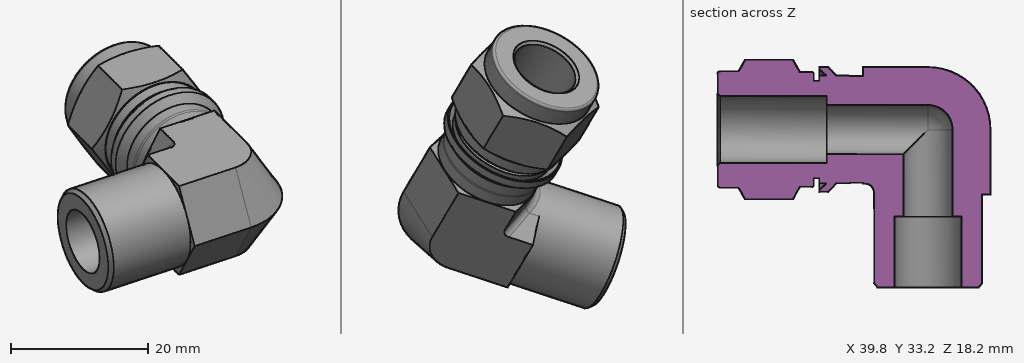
import cadquery as cq
import math


elbow_width = 15.8
elbow_half = elbow_width / 2
elbow_corner = elbow_width / math.sqrt(3)
arm_length = 9.47
inner_fillet = 1.2

nut_face = 39.8 - elbow_corner
front_collar_length = 3.05
hex_length = 8.9
back_collar_length = 2.05
hex_front = nut_face - front_collar_length
hex_back = hex_front - hex_length
nut_back = hex_back - back_collar_length
flange_face = nut_back - 0.75
flange_back = flange_face - 1.3
flange_cone_end = flange_back - 1.2
shoulder_front = flange_cone_end - 1.7
shoulder_back = shoulder_front - 0.35

nut_width = 17.65
nut_corner = nut_width / math.sqrt(3)
hex_chamfer_length = 0.95
front_collar_diameter = 17.0
front_collar_round = 0.4
back_collar_diameter = 16.8
back_collar_chamfer = 0.2
neck_diameter = 14.3
flange_diameter = 18.25
flange_groove_diameter = 17.75
flange_groove_depth = 1.0
body_diameter = 15.8
shoulder_diameter = 15.65

pipe_diameter = 15.8
pipe_end = 33.2 - nut_corner
pipe_chamfer_length = 0.65
pipe_chamfer_depth = 0.5

bore_diameter = 7.12
socket_diameter = 9.7
nut_socket_depth = 15.92
nut_mouth_chamfer = 0.4
pipe_socket_depth = 10.35


def nut_arm_cylinder(diameter, near, far):
    """Cylinder on the nut arm axis between two distances from the origin."""
    return cq.Workplane("YZ", origin=(-far, 0, 0)).circle(diameter / 2).extrude(far - near)


def pipe_arm_cylinder(diameter, near, far):
    """Cylinder on the pipe arm axis between two distances from the origin."""
    return cq.Workplane("XZ", origin=(0, -near, 0)).circle(diameter / 2).extrude(far - near)


def elbow_arm(plane, length):
    """Hexagonal arm whose inner corner is rounded, starting at the origin."""
    tangent_y = elbow_half * math.cos(math.pi / 6)
    tangent_z = elbow_half * math.sin(math.pi / 6)
    return (
        cq.Workplane(plane)
        .moveTo(elbow_corner, 0)
        .lineTo(elbow_corner / 2, elbow_half)
        .lineTo(-elbow_corner / 2, elbow_half)
        .lineTo(-tangent_y, tangent_z)
        .threePointArc((-elbow_half, 0), (-tangent_y, -tangent_z))
        .lineTo(-elbow_corner / 2, -elbow_half)
        .lineTo(elbow_corner / 2, -elbow_half)
        .close()
        .extrude(length)
    )


def make_elbow():
    """Two hexagonal arms, a revolved outer corner and a filleted inner corner."""
    nut_side = elbow_arm("YZ", -arm_length)
    pipe_side = elbow_arm("XZ", arm_length)
    outer_bend = (
        cq.Workplane("XZ")
        .moveTo(0, -elbow_half)
        .lineTo(elbow_corner / 2, -elbow_half)
        .lineTo(elbow_corner, 0)
        .lineTo(elbow_corner / 2, elbow_half)
        .lineTo(0, elbow_half)
        .close()
        .revolve(90, (0, 0, 0), (0, 1, 0))
    )
    elbow = nut_side.union(pipe_side).union(outer_bend)
    inner_corner = cq.selectors.BoxSelector(
        (-elbow_corner, -elbow_corner, -elbow_half + 0.05),
        (-elbow_corner / 2 - 0.05, -elbow_corner / 2 - 0.05, elbow_half - 0.05),
    )
    return elbow.edges(inner_corner).fillet(inner_fillet)


def make_nut():
    """Hexagon chamfered at both ends, with a round collar in front and behind."""
    hexagon = (
        cq.Workplane("YZ", origin=(-hex_front, 0, 0))
        .polygon(6, 2 * nut_corner)
        .extrude(hex_length)
    )
    chamfer_depth = nut_corner - front_collar_diameter / 2
    chamfer_envelope = nut_arm_cylinder(2 * nut_corner, hex_back, hex_front)
    chamfer_envelope = chamfer_envelope.faces("<X or >X").chamfer(hex_chamfer_length, chamfer_depth)
    front_collar = nut_arm_cylinder(front_collar_diameter, hex_front, nut_face)
    front_collar = front_collar.faces("<X").edges().fillet(front_collar_round)
    back_collar = nut_arm_cylinder(back_collar_diameter, nut_back, hex_back)
    back_collar = back_collar.faces(">X").chamfer(back_collar_chamfer)
    return hexagon.intersect(chamfer_envelope).union(front_collar).union(back_collar)


def make_nut_neck():
    """Turned length from the elbow to the nut, with its cone-backed flange
    and the annular groove around the hub in the flange face."""
    groove_floor = flange_face - flange_groove_depth
    return (
        cq.Workplane("XY")
        .moveTo(-arm_length, 0)
        .lineTo(-arm_length, shoulder_diameter / 2)
        .lineTo(-shoulder_back, shoulder_diameter / 2)
        .lineTo(-shoulder_front, body_diameter / 2)
        .lineTo(-flange_cone_end, body_diameter / 2)
        .lineTo(-flange_back, flange_diameter / 2)
        .lineTo(-flange_face, flange_diameter / 2)
        .lineTo(-flange_face, flange_groove_diameter / 2)
        .lineTo(-groove_floor, body_diameter / 2)
        .lineTo(-flange_face, body_diameter / 2)
        .lineTo(-flange_face, neck_diameter / 2)
        .lineTo(-nut_back, neck_diameter / 2)
        .lineTo(-nut_back, 0)
        .close()
        .revolve(360, (0, 0, 0), (1, 0, 0))
    )


def make_pipe():
    """Plain round arm with a chamfered end."""
    pipe = pipe_arm_cylinder(pipe_diameter, arm_length, pipe_end)
    return pipe.faces("<Y").chamfer(pipe_chamfer_length, pipe_chamfer_depth)


def make_bores():
    """Through passage with a spherical turn, and a wider socket in each arm."""
    turn = cq.Workplane("XY").sphere(bore_diameter / 2)
    mouth = cq.Workplane(
        cq.Solid.makeCone(
            socket_diameter / 2 + nut_mouth_chamfer,
            socket_diameter / 2,
            nut_mouth_chamfer,
            cq.Vector(-nut_face, 0, 0),
            cq.Vector(1, 0, 0),
        )
    )
    return (
        turn.union(nut_arm_cylinder(bore_diameter, 0, nut_face))
        .union(pipe_arm_cylinder(bore_diameter, 0, pipe_end))
        .union(nut_arm_cylinder(socket_diameter, nut_face - nut_socket_depth, nut_face))
        .union(pipe_arm_cylinder(socket_diameter, pipe_end - pipe_socket_depth, pipe_end))
        .union(mouth)
    )


result = make_elbow().union(make_nut_neck()).union(make_nut()).union(make_pipe()).cut(make_bores())